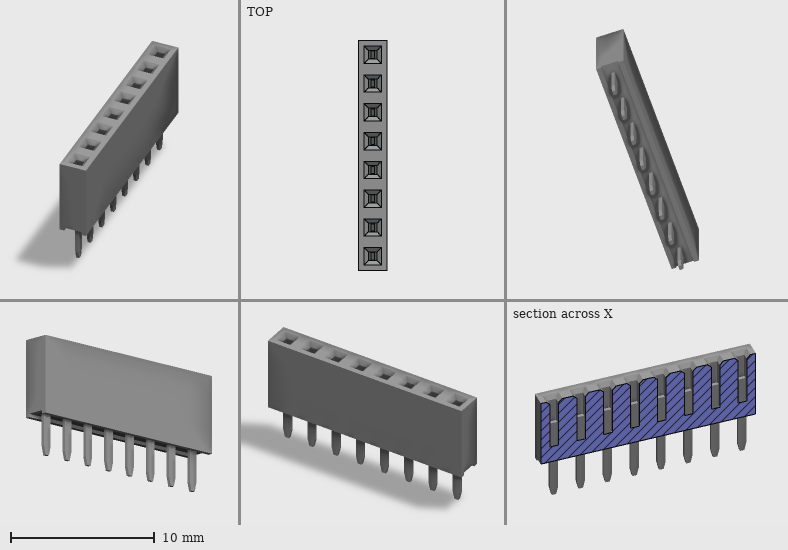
import cadquery as cq

pin_count = 8
pitch = 2.0
body_width = pitch
body_length = pin_count * pitch
body_height = 5.6
total_height = 8.3

channel_width = 1.3
channel_depth = 0.24

mouth_size = 1.2
well_size = 0.6
lead_in_depth = (mouth_size - well_size) / 2
well_depth = 4.0

pin_thickness = 0.24
tail_width = 0.6
tip_width = 0.32
tip_height = 0.6
blade_width = 0.5
blade_height = 2.0

channel_top = channel_depth
well_floor = body_height - well_depth
tip_bottom = body_height - total_height
taper_start = tip_bottom + tip_height

first_pin_y = -(pin_count - 1) * pitch / 2


def make_body():
    """Rectangular housing with a full-length channel underneath."""
    housing = cq.Workplane("XY").box(body_width, body_length, body_height, centered=(True, True, False))
    channel = cq.Workplane("XY").box(channel_width, body_length, channel_depth, centered=(True, True, False))
    return housing.cut(channel)


def make_socket():
    """Void of one socket, centred on the Z axis."""
    lead_in = (
        cq.Workplane("XY", origin=(0, 0, body_height - lead_in_depth))
        .rect(well_size, well_size)
        .workplane(offset=lead_in_depth)
        .rect(mouth_size, mouth_size)
        .loft(ruled=True)
    )
    well = cq.Workplane("XY", origin=(0, 0, well_floor)).rect(well_size, well_size).extrude(well_depth)
    return lead_in.union(well)


def make_pin():
    """Tapered tail and contact blade of one pin, both rooted in the solid web below the well."""
    tail = (
        cq.Workplane("YZ")
        .moveTo(-tip_width / 2, tip_bottom)
        .lineTo(tip_width / 2, tip_bottom)
        .lineTo(tail_width / 2, taper_start)
        .lineTo(tail_width / 2, channel_top)
        .lineTo(-tail_width / 2, channel_top)
        .lineTo(-tail_width / 2, taper_start)
        .close()
        .extrude(pin_thickness / 2, both=True)
    )
    blade = (
        cq.Workplane("XY", origin=(0, 0, well_floor))
        .rect(pin_thickness, blade_width)
        .extrude(blade_height)
    )
    return tail, blade


result = make_body()
socket = make_socket()
tail, blade = make_pin()
for index in range(pin_count):
    place = (0, first_pin_y + index * pitch, 0)
    result = result.cut(socket.translate(place))
    result = result.union(tail.translate(place)).union(blade.translate(place))